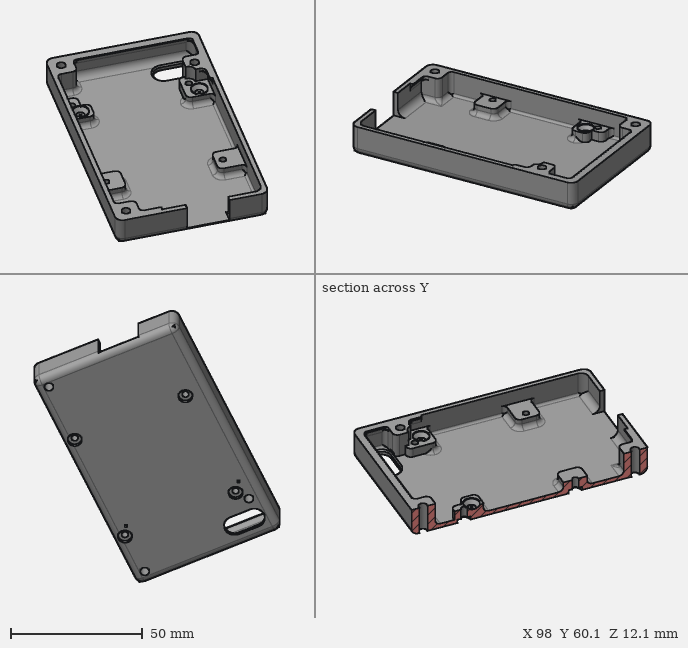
import cadquery as cq

LENGTH = 98.0
WIDTH = 60.05
HEIGHT = 12.09
OUTER_RADIUS = 3.0

FLOOR_Z = 2.09
WALL = 2.0
CAVITY_CORNER_RADIUS = 3.0
END_FLOOR_RADIUS = 3.0
SIDE_FLOOR_RADIUS = 1.0
NOTCH_Y_MIN = 27.7
NOTCH_Y_MAX = 44.4

LEFT = WALL
RIGHT = LENGTH - WALL
FRONT = WALL
BACK = WIDTH - WALL

ROOT = 1.0

END_LIP = 1.35
BACK_LIP = 1.0
LIP_RADIUS = 3.0
RIGHT_LIP_Y_MAX = 18.5
BACK_LIP_X_MAX = 28.0
BACK_LIP_END_RADIUS = 0.9

POST_CORNER_RADIUS = 2.0
WEB_RADIUS = 1.6
RIM_WEB_HEIGHT = 1.5
BACK_POST_WEB_RADIUS = 2.2
FLARE_RADIUS = 2.0
FRONT_POST_SIZE_X = 9.9
FRONT_POST_SIZE_Y = 10.05
BACK_POST_X_MIN = 13.3
BACK_POST_X_MAX = 21.5
BACK_POST_Y_MIN = 50.0
LID_HOLE_DIAMETER = 3.4
LID_HOLE_INSET = 5.0
BACK_LID_HOLE = (17.5, 54.0)

BOSS_HEIGHT = 4.0
BOSS_CORNER_RADIUS = 2.0
BACK_BOSS_Y_MIN = 47.4
FRONT_BOSS_Y_MAX = 11.1
BOARD_HOLE_X = (21.9, 68.0)
BOARD_HOLE_Y = (4.4, 50.45)
BOARD_HOLE_DIAMETER = 2.5
HEAD_DIAMETER = 5.4
HEAD_DEPTH = 1.5
HEAD_CLEARANCE_RADIUS = 2.8
RIGHT_BOSS_WIDTH = 10.0
LEFT_BOSS_CORE_WIDTH = 4.02
LEFT_BOSS_X_MAX = 30.0
LEFT_BOSS_X_MIN = 17.8
FRONT_LEFT_STEP_X = 22.8
FRONT_LEFT_STEP_Y = 7.5

SEAT_X = 25.9
SEAT_INSET_Y = 6.6
SEAT_TOP_DIAMETER = 6.4
SEAT_BOTTOM_DIAMETER = 3.2
SEAT_RIM_DEPTH = 0.4
SEAT_CONE_DEPTH = 1.6
SEAT_HOLE_DIAMETER = 1.0

SLOT_X = 9.0
SLOT_Y = 48.3
SLOT_WIDTH = 8.0
SLOT_LENGTH = 16.2
SLOT_ANGLE = 90
SLOT_CHAMFER = 0.6
SLOT_MOUTH_HEIGHT = 1.0


def block(x_min, x_max, y_min, y_max, z_min, z_max):
    """Axis-aligned box between the given limits."""
    size = (x_max - x_min, y_max - y_min, z_max - z_min)
    return cq.Workplane("XY").box(*size, centered=False).translate((x_min, y_min, z_min))


def cylinder(x, y, diameter, z_min, z_max):
    """Upright cylinder."""
    circle = cq.Workplane("XY", origin=(x, y, z_min)).circle(diameter / 2)
    return circle.extrude(z_max - z_min)


def cove(workplane, u, v, u_side, v_side, radius, length):
    """Concave quarter-round strip filling the corner (u, v) towards the given sides."""
    square = (
        workplane.center(u + u_side * radius / 2, v + v_side * radius / 2)
        .rect(radius, radius)
        .extrude(length)
    )
    round_cut = (
        workplane.center(u + u_side * radius, v + v_side * radius)
        .circle(radius)
        .extrude(length)
    )
    return square.cut(round_cut)


def web(x, y, x_side, y_side, z_max, z_min=FLOOR_Z, radius=WEB_RADIUS):
    """Upright concave web in the corner (x, y)."""
    plane = cq.Workplane("XY", origin=(0, 0, z_min))
    return cove(plane, x, y, x_side, y_side, radius, z_max - z_min)


def rim_web(x, y, x_side, y_side, radius=WEB_RADIUS):
    """Concave web as tall as the exposed underside of the rim lips."""
    return web(x, y, x_side, y_side, HEIGHT, HEIGHT - RIM_WEB_HEIGHT, radius)


def flared(column):
    """Column standing on the floor with a concave flare around its foot."""
    plate = block(LEFT - ROOT, RIGHT + ROOT, FRONT - ROOT, BACK + ROOT, FLOOR_Z - ROOT, FLOOR_Z)
    inside = cq.selectors.BoxSelector(
        (LEFT - ROOT / 2, FRONT - ROOT / 2, FLOOR_Z - ROOT / 2),
        (RIGHT + ROOT / 2, BACK + ROOT / 2, FLOOR_Z + ROOT / 2),
    )
    return plate.union(column).edges(inside).fillet(FLARE_RADIUS)


def make_tray():
    """Open tray with rounded outside and coved floor edges."""
    tray = block(0, LENGTH, 0, WIDTH, 0, HEIGHT)
    tray = tray.edges("|Z").fillet(OUTER_RADIUS).faces("<Z").edges().fillet(OUTER_RADIUS)
    cavity = block(LEFT, RIGHT, FRONT, BACK, FLOOR_Z, HEIGHT)
    tray = tray.cut(cavity.edges("|Z").fillet(CAVITY_CORNER_RADIUS))
    for x, side in ((LEFT, 1), (RIGHT, -1)):
        plane = cq.Workplane("XZ", origin=(0, BACK, 0))
        tray = tray.union(cove(plane, x, FLOOR_Z, side, 1, END_FLOOR_RADIUS, BACK - FRONT))
    for y, side in ((FRONT, 1), (BACK, -1)):
        plane = cq.Workplane("YZ", origin=(LEFT, 0, 0))
        tray = tray.union(cove(plane, y, FLOOR_Z, side, 1, SIDE_FLOOR_RADIUS, RIGHT - LEFT))
    return tray.cut(block(RIGHT - END_FLOOR_RADIUS, LENGTH, NOTCH_Y_MIN, NOTCH_Y_MAX, FLOOR_Z, HEIGHT))


def lip(workplane, wall, side, depth, length):
    """Overhanging rim lip whose underside curves down into the wall."""
    strip = cove(workplane, wall, HEIGHT, side, -1, LIP_RADIUS, length)
    keep = workplane.center(wall + side * depth / 2, HEIGHT / 2).rect(depth, HEIGHT).extrude(length)
    return strip.intersect(keep)


def make_lips():
    """Lips along the left wall, part of the right wall and part of the back wall."""
    left = lip(cq.Workplane("XZ", origin=(0, BACK, 0)), LEFT, 1, END_LIP, BACK - FRONT)
    right_plane = cq.Workplane("XZ", origin=(0, RIGHT_LIP_Y_MAX, 0))
    right = lip(right_plane, RIGHT, -1, END_LIP, RIGHT_LIP_Y_MAX - FRONT)
    back_plane = cq.Workplane("YZ", origin=(LEFT, 0, 0))
    back = lip(back_plane, BACK, -1, BACK_LIP, BACK_LIP_X_MAX - LEFT)
    end_outline = block(LEFT, BACK_LIP_X_MAX, BACK - BACK_LIP, BACK, FLOOR_Z, HEIGHT)
    back = back.intersect(end_outline.edges("|Z and >X and <Y").fillet(BACK_LIP_END_RADIUS))
    corner = rim_web(LEFT + END_LIP, BACK - BACK_LIP, 1, -1)
    return left.union(right).union(back).union(corner)


def make_front_post(mirrored):
    """Corner post with a flared foot; mirrored puts it at the right end.

    The left post is rounded before flaring, so its flare sweeps around the corner.
    The right post is flared first, so its flare keeps a mitred corner.
    """
    post = block(LEFT - ROOT, FRONT_POST_SIZE_X, FRONT - ROOT, FRONT_POST_SIZE_Y, FLOOR_Z, HEIGHT)
    corner = cq.selectors.BoxSelector(
        (FRONT_POST_SIZE_X - ROOT, FRONT_POST_SIZE_Y - ROOT, FLOOR_Z + FLARE_RADIUS),
        (FRONT_POST_SIZE_X + ROOT, FRONT_POST_SIZE_Y + ROOT, HEIGHT),
    )
    if mirrored:
        post = flared(post).edges(corner).edges("|Z").fillet(POST_CORNER_RADIUS)
    else:
        post = flared(post.edges(corner).fillet(POST_CORNER_RADIUS))
    post = post.union(web(FRONT_POST_SIZE_X, FRONT, 1, 1, HEIGHT))
    post = post.union(rim_web(LEFT + END_LIP, FRONT_POST_SIZE_Y, 1, 1))
    if mirrored:
        post = post.mirror("YZ").translate((LENGTH, 0, 0))
    return post


def make_back_post():
    """Post beside the floor slot, without a flare."""
    post = block(BACK_POST_X_MIN, BACK_POST_X_MAX, BACK_POST_Y_MIN, BACK + ROOT, FLOOR_Z, HEIGHT)
    post = post.edges("|Z and <X and <Y").fillet(POST_CORNER_RADIUS)
    post = post.union(web(BACK_POST_X_MIN, BACK, -1, -1, HEIGHT))
    post = post.union(rim_web(BACK_POST_X_MIN, BACK - BACK_LIP, -1, -1))
    post = post.union(rim_web(BACK_POST_X_MAX, BACK - BACK_LIP, 1, -1, BACK_POST_WEB_RADIUS))
    head = cylinder(BOARD_HOLE_X[0], BOARD_HOLE_Y[1], 2 * HEAD_CLEARANCE_RADIUS, FLOOR_Z, HEIGHT)
    return post.cut(head)


def boss_block(x_min, x_max, back):
    """Boss body against the back or the front wall."""
    top = FLOOR_Z + BOSS_HEIGHT
    if back:
        return block(x_min, x_max, BACK_BOSS_Y_MIN, BACK + ROOT, FLOOR_Z, top)
    return block(x_min, x_max, FRONT - ROOT, FRONT_BOSS_Y_MAX, FLOOR_Z, top)


def make_boss_pair(back):
    """Right boss and left boss along one side wall.

    The left boss is a narrow flared core widened towards -X by a wing without a flare.
    """
    free_edges = "|Z and <Y" if back else "|Z and >Y"
    wall_y = BACK if back else FRONT
    inward = -1 if back else 1
    top = FLOOR_Z + BOSS_HEIGHT

    x_min = BOARD_HOLE_X[1] - RIGHT_BOSS_WIDTH / 2
    x_max = BOARD_HOLE_X[1] + RIGHT_BOSS_WIDTH / 2
    right = flared(boss_block(x_min, x_max, back).edges(free_edges).fillet(BOSS_CORNER_RADIUS))
    right = right.union(web(x_min, wall_y, -1, inward, top))
    right = right.union(web(x_max, wall_y, 1, inward, top))

    core = boss_block(LEFT_BOSS_X_MAX - LEFT_BOSS_CORE_WIDTH, LEFT_BOSS_X_MAX, back)
    left = flared(core.edges(free_edges).fillet(BOSS_CORNER_RADIUS))
    left = left.union(web(LEFT_BOSS_X_MAX, wall_y, 1, inward, top))
    middle_x = LEFT_BOSS_X_MAX - BOSS_CORNER_RADIUS
    if back:
        wing = boss_block(LEFT_BOSS_X_MIN, middle_x, back)
        wing = wing.edges("|Z and <X and <Y").fillet(BOSS_CORNER_RADIUS)
    else:
        wing = boss_block(FRONT_LEFT_STEP_X, middle_x, back)
        wing = wing.edges("|Z and <X and >Y").fillet(BOSS_CORNER_RADIUS)
        step = block(LEFT_BOSS_X_MIN, middle_x, FRONT - ROOT, FRONT_LEFT_STEP_Y, FLOOR_Z, top)
        wing = wing.union(step.edges("|Z and <X and >Y").fillet(BOSS_CORNER_RADIUS))
        wing = wing.union(web(LEFT_BOSS_X_MIN, FRONT, -1, 1, top))
    return right.union(left).union(wing)


def make_lid_holes():
    """Through holes in the three posts."""
    places = (
        (LID_HOLE_INSET, LID_HOLE_INSET),
        (LENGTH - LID_HOLE_INSET, LID_HOLE_INSET),
        BACK_LID_HOLE,
    )
    holes = cq.Workplane("XY").pushPoints(places).circle(LID_HOLE_DIAMETER / 2)
    return holes.extrude(HEIGHT)


def make_board_holes():
    """Through holes with screw-head recesses in the underside."""
    places = [(x, y) for x in BOARD_HOLE_X for y in BOARD_HOLE_Y]
    plane = cq.Workplane("XY").pushPoints(places)
    shanks = plane.circle(BOARD_HOLE_DIAMETER / 2).extrude(FLOOR_Z + BOSS_HEIGHT)
    return shanks.union(plane.circle(HEAD_DIAMETER / 2).extrude(HEAD_DEPTH))


def make_seat(y):
    """Conical seat below a short straight rim, with a small through hole at its centre."""
    top = FLOOR_Z + BOSS_HEIGHT
    rim = cylinder(SEAT_X, y, SEAT_TOP_DIAMETER, top - SEAT_RIM_DEPTH, top)
    cone = (
        cq.Workplane("XY", origin=(SEAT_X, y, top - SEAT_RIM_DEPTH))
        .circle(SEAT_TOP_DIAMETER / 2)
        .workplane(offset=-SEAT_CONE_DEPTH)
        .circle(SEAT_BOTTOM_DIAMETER / 2)
        .loft()
    )
    return rim.union(cone).union(cylinder(SEAT_X, y, SEAT_HOLE_DIAMETER, 0, top))


def make_slot():
    """Rounded slot through the floor, chamfered where it meets the floor."""
    mouth_width = SLOT_WIDTH + 2 * SLOT_CHAMFER
    mouth_length = SLOT_LENGTH + 2 * SLOT_CHAMFER
    plane = cq.Workplane("XY").center(SLOT_X, SLOT_Y)
    through = plane.slot2D(SLOT_LENGTH, SLOT_WIDTH, SLOT_ANGLE).extrude(FLOOR_Z)
    mouth = plane.slot2D(mouth_length, mouth_width, SLOT_ANGLE).extrude(SLOT_MOUTH_HEIGHT + SLOT_CHAMFER)
    mouth = mouth.faces("<Z").chamfer(SLOT_CHAMFER).translate((0, 0, FLOOR_Z - SLOT_CHAMFER))
    return through.union(mouth)


result = make_tray().union(make_lips())
result = result.union(make_front_post(False)).union(make_front_post(True)).union(make_back_post())
result = result.union(make_boss_pair(True)).union(make_boss_pair(False))
result = result.cut(make_lid_holes()).cut(make_board_holes()).cut(make_slot())
for seat_y in (SEAT_INSET_Y, WIDTH - SEAT_INSET_Y):
    result = result.cut(make_seat(seat_y))